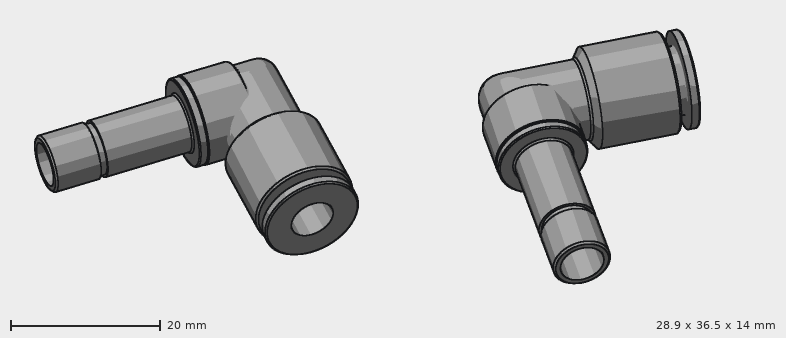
import cadquery as cq
import math

overall_length = 36.5

elbow_radius = 5.5
outer_mitre_angle = 135
corner_slope = 0.52
bore_radius = 3.03

socket_radius = 7.0
socket_root_radius = 5.73
root_ring_start = 7.7
socket_start = 8.03
socket_cone_end = 8.95
socket_end = 20.0
socket_chamfer = 0.3
neck_radius = 4.7
neck_fillet = 0.2
release_radius = 6.75
release_start = 21.43
release_end = 22.65
release_chamfer = 0.22

collar_radius = 6.28
collar_start = 1.2
collar_end = 8.2
collar_top_round = 0.4
junction_fillet = 0.33
collar_inner_radius = 6.1
flange_radius = 6.2
flange_start = 8.4
flange_end = 9.6
flange_chamfer = 0.2
stem_radius = 3.98
stem_end = overall_length - socket_radius
stem_chamfer = 0.3
root_flare = 0.25
groove_radius = 3.6
groove_start = 21.97
groove_end = 22.95


def along_x(radius, start, end):
    """Cylinder on the X axis between two X stations."""
    return cq.Workplane("YZ").workplane(offset=start).circle(radius).extrude(end - start)


def along_stem(radius, start, end):
    """Cylinder on the Y axis between two distances towards -Y."""
    return cq.Workplane("XZ").workplane(offset=start).circle(radius).extrude(end - start)


def sector(*corners):
    """Prism over a plan polygon, tall enough to contain the elbow."""
    return cq.Workplane("XY").polyline(corners).close().extrude(2 * elbow_radius, both=True)


def make_corner():
    """Wedge of an ellipsoid, tangent to both arms and as tall as they are.

    It starts as a wedge of a ball about the Z axis, centred on +X, which is stretched
    lengthwise and narrowed sideways before it is turned to the outside of the bend.
    """
    stretch = math.sqrt(1 + corner_slope)
    narrowing = math.sqrt(1 - corner_slope)
    half_angle = math.degrees(math.atan(narrowing / stretch))
    half_disc = (
        cq.Workplane("XZ")
        .moveTo(0, -elbow_radius)
        .threePointArc((elbow_radius, 0), (0, elbow_radius))
        .close()
    )
    wedge = half_disc.revolve(2 * half_angle, (0, 0, 0), (0, 1, 0)).val()
    wedge = wedge.rotate(cq.Vector(0, 0, 0), cq.Vector(0, 0, 1), -half_angle)
    wedge = wedge.transformGeometry(
        cq.Matrix([[stretch, 0, 0, 0], [0, narrowing, 0, 0], [0, 0, 1, 0]])
    )
    return cq.Workplane(obj=wedge.rotate(cq.Vector(0, 0, 0), cq.Vector(0, 0, 1), outer_mitre_angle))


def make_elbow():
    """Two arms on the mitre, each ending where it runs smoothly into the corner ellipsoid."""
    reach = 2 * collar_end
    center = (0, 0)
    inner = (reach, -reach)
    inlet_limit = (-corner_slope * reach, reach)
    stem_limit = (-reach, corner_slope * reach)
    inlet_arm = along_x(elbow_radius, -elbow_radius, socket_start)
    stem_arm = along_stem(elbow_radius, -elbow_radius, collar_end)
    inlet_arm = inlet_arm.intersect(sector(center, inner, (reach, reach), inlet_limit))
    stem_arm = stem_arm.intersect(sector(center, stem_limit, (-reach, -reach), inner))
    return inlet_arm.union(make_corner()).union(stem_arm)


def make_socket():
    """Socket body, neck and release ring turned about the X axis."""
    profile = (
        cq.Workplane("XY")
        .moveTo(root_ring_start, 0)
        .lineTo(root_ring_start, elbow_radius)
        .lineTo(socket_start, socket_root_radius)
        .lineTo(socket_cone_end, socket_radius)
        .lineTo(socket_end - socket_chamfer, socket_radius)
        .lineTo(socket_end, socket_radius - socket_chamfer)
        .lineTo(socket_end, neck_radius)
        .lineTo(release_start - neck_fillet, neck_radius)
        .radiusArc((release_start, neck_radius + neck_fillet), -neck_fillet)
        .lineTo(release_start, release_radius)
        .lineTo(release_end - release_chamfer, release_radius)
        .lineTo(release_end, release_radius - release_chamfer)
        .lineTo(release_end, 0)
        .close()
    )
    return profile.revolve(360, (0, 0, 0), (1, 0, 0))


def add_collar(elbow):
    """Add the round-topped collar, with a fillet all along its junction with the elbow."""
    collar = along_stem(collar_radius, collar_start, collar_end).faces(">Y").edges().fillet(collar_top_round)
    joined = elbow.union(collar)
    junction_zone = cq.selectors.BoxSelector(
        (-collar_radius, -elbow_radius, -collar_radius),
        (collar_radius, -collar_start + collar_top_round / 2, collar_radius),
    )
    candidates = joined.edges(junction_zone)
    inner_ring = candidates.edges("%CIRCLE").edges(cq.selectors.RadiusNthSelector(0))
    junction = candidates.edges("not %CIRCLE").vals() + inner_ring.vals()
    return joined.newObject(junction).fillet(junction_fillet)


def make_flange():
    """Flange below the collar, with the slimmer core that bridges the gap between them."""
    core = along_stem(collar_inner_radius, collar_end, flange_start)
    flange = along_stem(flange_radius, flange_start, flange_end).faces("<Y").edges().chamfer(flange_chamfer)
    return core.union(flange)


def make_stem():
    """Plug-in stem with a flared root, a retaining groove and a chamfered tip."""
    profile = (
        cq.Workplane("XY")
        .moveTo(0, -flange_end)
        .lineTo(stem_radius + root_flare, -flange_end)
        .lineTo(stem_radius, -flange_end - root_flare)
        .lineTo(stem_radius, -groove_start)
        .lineTo(groove_radius, -groove_start)
        .lineTo(groove_radius, -groove_end)
        .lineTo(stem_radius, -groove_end)
        .lineTo(stem_radius, -stem_end + stem_chamfer)
        .lineTo(stem_radius - stem_chamfer, -stem_end)
        .lineTo(0, -stem_end)
        .close()
    )
    return profile.revolve(360, (0, 0, 0), (0, 1, 0))


outside = add_collar(make_elbow()).union(make_flange()).union(make_socket()).union(make_stem())
bore = along_x(bore_radius, -bore_radius, release_end).union(along_stem(bore_radius, 0, stem_end))
result = outside.cut(bore)